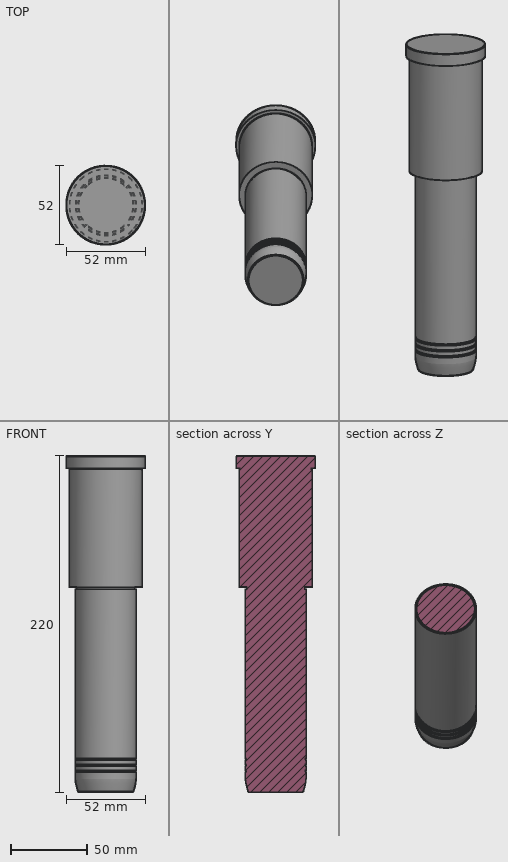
import cadquery as cq

total_length = 220.0
head_height = 8.1
sleeve_end_depth = 85.8
neck_height = 1.3
nose_height = 8.8
nose_arc_height = 4.5

head_radius = 26.0
sleeve_radius = 24.0
stem_radius = 20.0
neck_radius = 19.1
nose_end_radius = 18.3
nose_arc_radius = 19.4

head_chamfer = 0.5
nose_chamfer = 0.7
relief_height = 0.7
relief_depth = 0.5
groove_count = 3
groove_pitch = 4.0
groove_width = 1.3
groove_depth = 0.7
first_groove_height = 13.9

head_bottom = total_length - head_height
sleeve_bottom = total_length - sleeve_end_depth
stem_top = sleeve_bottom - neck_height


def v_groove(center_height):
    """V-shaped ring cutter with its tip pointing into the stem."""
    return (
        cq.Workplane("XZ")
        .moveTo(stem_radius, center_height - groove_width / 2)
        .lineTo(stem_radius - groove_depth, center_height)
        .lineTo(stem_radius, center_height + groove_width / 2)
        .close()
        .revolve(360, (0, 0, 0), (0, 1, 0))
    )


profile = (
    cq.Workplane("XZ")
    .lineTo(nose_end_radius - nose_chamfer, 0)
    .lineTo(nose_end_radius, nose_chamfer)
    .threePointArc((nose_arc_radius, nose_arc_height), (stem_radius, nose_height))
    .lineTo(stem_radius, stem_top)
    .lineTo(neck_radius, stem_top)
    .lineTo(neck_radius, sleeve_bottom)
    .lineTo(sleeve_radius, sleeve_bottom)
    .lineTo(sleeve_radius, head_bottom - relief_height)
    .lineTo(sleeve_radius - relief_depth, head_bottom - relief_height)
    .lineTo(sleeve_radius - relief_depth, head_bottom)
    .lineTo(head_radius, head_bottom)
    .lineTo(head_radius, total_length)
    .lineTo(0, total_length)
    .close()
)
result = profile.revolve(360, (0, 0, 0), (0, 1, 0))

result = result.faces(">Z").edges().chamfer(head_chamfer)

for index in range(groove_count):
    groove_height = first_groove_height + index * groove_pitch
    result = result.cut(v_groove(groove_height))